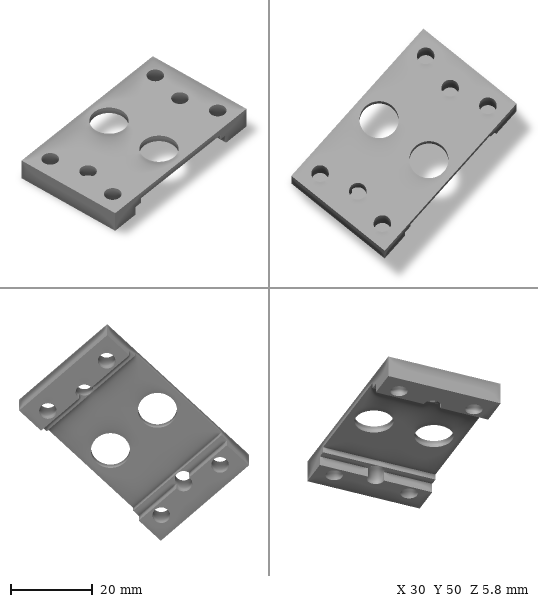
import cadquery as cq

width = 30.0
length = 50.0
height = 5.8

web_thickness = 1.8
step_drop = 1.5
foot_length = 7.75
step_length = 2.0
step_thickness = web_thickness + step_drop
foot_gap = length - 2 * foot_length
web_gap = foot_gap - 2 * step_length

screw_diameter = 4.3
corner_spacing_x = 20.0
corner_spacing_y = 40.0
middle_spacing_y = 35.0
window_diameter = 9.6
window_spacing_x = 16.0

sides = (-1, 1)
corner_points = [
    (side_x * corner_spacing_x / 2, side_y * corner_spacing_y / 2)
    for side_x in sides
    for side_y in sides
]
middle_points = [(0, side * middle_spacing_y / 2) for side in sides]
window_points = [(side * window_spacing_x / 2, 0) for side in sides]


def make_block(block_length, block_height):
    """Block of the full width, centred in X and Y, standing on Z = 0."""
    return cq.Workplane("XY").box(width, block_length, block_height, centered=(True, True, False))


def make_channel(channel_length, roof_thickness):
    """Space below the plate, leaving a roof of the given thickness above it."""
    return make_block(channel_length, height - roof_thickness)


def make_holes(diameter, points):
    """Vertical cylinders through the full height."""
    return cq.Workplane("XY").pushPoints(points).circle(diameter / 2).extrude(height)


result = (
    make_block(length, height)
    .cut(make_channel(foot_gap, step_thickness))
    .cut(make_channel(web_gap, web_thickness))
    .cut(make_holes(screw_diameter, corner_points + middle_points))
    .cut(make_holes(window_diameter, window_points))
)